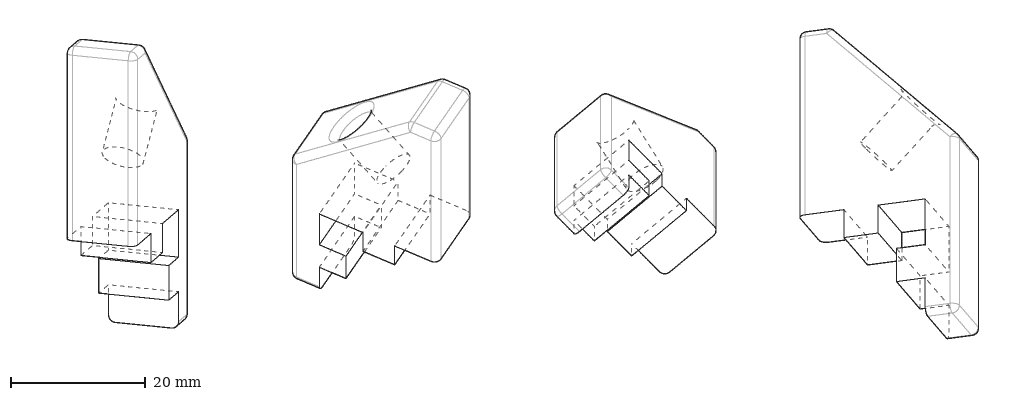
import cadquery as cq
import math

width = 11.0
depth = 25.0
height = 48.5
body_underside = 18.55
wall = 5.0
edge_radius = 1.1

tab_width = 5.4
tab_length = 4.5
tab_offset = 7.35

hole_radius = 3.15
hole_depth = 10.0
hole_setback = 7.45

leg_front = depth - wall
slope_foot = height - (depth - wall)
hole_y = depth - hole_setback
hole_z = slope_foot + hole_setback


def profile_prism(points):
    """Extrude a closed Y-Z outline across the full width."""
    return cq.Workplane("YZ").polyline(points).close().extrude(width / 2, both=True)


def make_rounded_block():
    """Full-depth block with a sloping rear top and every edge rounded."""
    block = profile_prism([
        (0, 0),
        (depth, 0),
        (depth, slope_foot),
        (wall, height),
        (0, height),
    ])
    return block.edges().fillet(edge_radius)


def make_notch():
    """Space below the body and ahead of the leg, leaving the two tabs."""
    upright_tab_rear = leg_front - tab_offset
    upright_tab_front = upright_tab_rear - tab_width
    upright_tab_end = body_underside - tab_length
    level_tab_top = body_underside - tab_offset
    level_tab_bottom = level_tab_top - tab_width
    level_tab_end = leg_front - tab_length
    return profile_prism([
        (0, 0),
        (leg_front, 0),
        (leg_front, level_tab_bottom),
        (level_tab_end, level_tab_bottom),
        (level_tab_end, level_tab_top),
        (leg_front, level_tab_top),
        (leg_front, body_underside),
        (upright_tab_rear, body_underside),
        (upright_tab_rear, upright_tab_end),
        (upright_tab_front, upright_tab_end),
        (upright_tab_front, body_underside),
        (0, body_underside),
    ])


def make_hole():
    """Round hole with a bell mouth, revolved about the normal of the slope."""
    mouth_radius = hole_radius + edge_radius
    arc_inset = edge_radius * math.sqrt(0.5)
    section = cq.Plane(origin=(0, hole_y, hole_z), xDir=(1, 0, 0), normal=(0, -1, 1))
    return (
        cq.Workplane(section)
        .lineTo(mouth_radius, 0)
        .threePointArc(
            (mouth_radius - arc_inset, arc_inset - edge_radius),
            (hole_radius, -edge_radius),
        )
        .lineTo(hole_radius, -hole_depth)
        .lineTo(0, -hole_depth)
        .close()
        .revolve(360, (0, 0), (0, 1))
    )


result = make_rounded_block().cut(make_notch()).cut(make_hole())